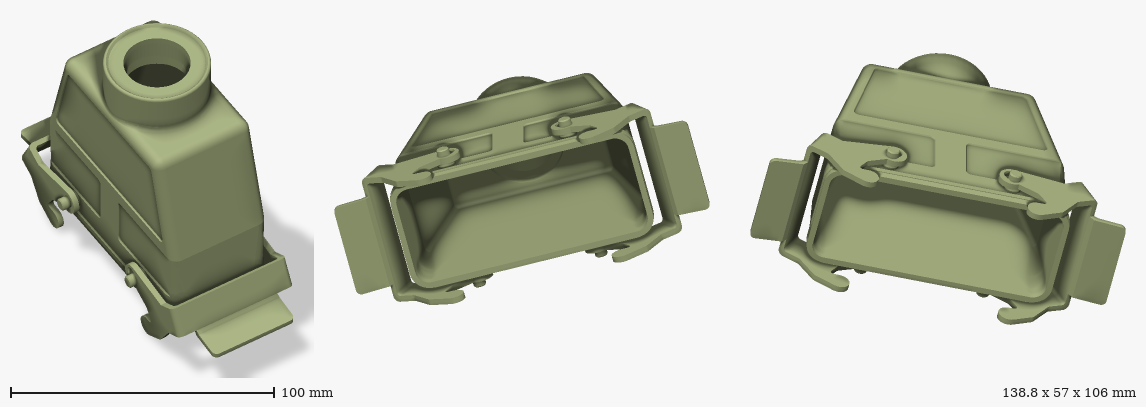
import cadquery as cq
import math

WALL = 2.2
HALF_DEPTH = 21.5
ROOF_Z = 78.4
ROOF_HALF = 33.1
SHOULDER_Z = 34.4
SHOULDER_HALF = 45.0
SKIRT_Z = 13.9
FOOT_HALF = 47.7
UPPER_RADIUS = 4.0
SKIRT_RADIUS = 7.5

FLANGE_HALF = 47.9
FLANGE_HALF_DEPTH = 22.3
FLANGE_RADIUS = 8.6
FLANGE_TOP = 4.6
RIM_TOP = 2.5
RIM_STEP = 0.3
RIM_TAPER = 8

PANEL_DEPTH = 0.7
PANEL_RADIUS = 1.7
PANEL_DRAFT = 30
UPPER_PANEL_TOP = 73.1
UPPER_PANEL_BOTTOM = 39.8
UPPER_PANEL_TOP_HALF = 29.3
UPPER_PANEL_BOTTOM_HALF = 37.9
LOWER_PANEL_TOP = 34.1
LOWER_PANEL_BOTTOM = 13.9
LOWER_PANEL_INNER_X = 6.4

NECK_DIAMETER = 41.0
NECK_TOP = 94.5
NECK_FILLET = 1.8
MOUTH_DEPTH = 0.8
MOUTH_FILLET = 1.0
MOUTH_DIAMETER = 38.8
NECK_BORE_DIAMETER = 37.0
CABLE_HOLE_DIAMETER = 32.0

INSERT_LENGTH = 13.9
INSERT_BORE_DIAMETER = 25.5
INSERT_TOP = NECK_TOP - MOUTH_DEPTH
INSERT_BOTTOM = INSERT_TOP - INSERT_LENGTH

PIN_X = 23.9
PIN_Z = 9.7
PIN_DIAMETER = 4.9
PIN_TIP_DIAMETER = 4.0
PIN_BOSS_DIAMETER = 7.0
PIN_BOSS_CONE = 1.1
PIN_SPAN = 57.0
PIN_CHAMFER = (PIN_DIAMETER - PIN_TIP_DIAMETER) / 2

BAR_SHEET = 2.0
ARM_SHEET = 2.4
LEVER_HALF_WIDTH = 25.8
ARM_INNER_Y = LEVER_HALF_WIDTH - ARM_SHEET
BEND_OUTER_RADIUS = 2.4
BEND_INNER_RADIUS = 1.4
BAR_ANGLE = math.radians(62.6)
BAR_LENGTH = 12.0
BAR_FOOT = (56.6, 6.5)
EAR_CENTER = (23.0, 10.8)
EAR_RADIUS = 5.0
EAR_START = 82
EAR_THROAT = (25.7, 6.7)
ARM_VALLEY = (43.3, 13.0)
THROAT_TOP = (33.3, 2.6)
THROAT_CORNER = (37.2, -3.3)
THROAT_RADIUS = 1.1
HOOK_CENTER = (33.0, -7.5)
HOOK_RADIUS = 4.0
HOOK_END = -60
HOOK_HEEL = (42.7, -6.7)
ARM_ELBOW_REACH = 9.0
BLUNT_RADIUS = 2.1
TAB_WIDTH = 36.3
TAB_TIP = (69.4, 4.0)
TAB_ROOT = (58.3, 5.5)
TAB_CORNER_RADIUS = 2.2


def rounded_wire(half_length, half_depth, radius, z):
    """Rounded rectangle centered on the Z axis at height z."""
    plate = (
        cq.Workplane("XY", (0, 0, z))
        .rect(2 * half_length, 2 * half_depth)
        .extrude(1.4)
        .edges("|Z")
        .fillet(radius)
    )
    return plate.faces("<Z").wires().val()


def hood_block(inset):
    """Solid hood outline, shrunk on the sides and roof by the inset."""
    half_depth = HALF_DEPTH - inset
    upper = (
        cq.Workplane("XZ")
        .polyline([
            (-SHOULDER_HALF + inset, SHOULDER_Z),
            (SHOULDER_HALF - inset, SHOULDER_Z),
            (ROOF_HALF - inset, ROOF_Z - inset),
            (-ROOF_HALF + inset, ROOF_Z - inset),
        ])
        .close()
        .extrude(half_depth, both=True)
        .edges("not <Z")
        .fillet(UPPER_RADIUS - inset)
    )
    shoulder_wire = upper.faces("<Z").wires().val()
    radius = SKIRT_RADIUS - inset
    skirt_half = FOOT_HALF - (FOOT_HALF - SHOULDER_HALF) * SKIRT_Z / SHOULDER_Z
    skirt_wire = rounded_wire(skirt_half - inset, half_depth, radius, SKIRT_Z)
    foot_wire = rounded_wire(FOOT_HALF - inset, half_depth, radius, 0)
    transition = cq.Solid.makeLoft([shoulder_wire, skirt_wire], True)
    skirt = cq.Solid.makeLoft([skirt_wire, foot_wire], True)
    return upper.union(transition).union(skirt).clean()


def cylinder(diameter, bottom, top):
    return cq.Workplane("XY", (0, 0, bottom)).circle(diameter / 2).extrude(top - bottom)


def neck():
    """Round neck with a rounded mouth, reaching into the roof."""
    return (
        cylinder(NECK_DIAMETER, ROOF_Z - 2 * UPPER_RADIUS, NECK_TOP)
        .faces(">Z")
        .edges()
        .fillet(MOUTH_FILLET)
    )


def neck_bore():
    """Stepped bore: conical mouth, insert seat and cable hole into the cavity."""
    mouth = (
        cq.Workplane("XY", (0, 0, INSERT_TOP))
        .circle(NECK_BORE_DIAMETER / 2)
        .workplane(offset=MOUTH_DEPTH)
        .circle(MOUTH_DIAMETER / 2)
        .loft()
    )
    seat = cylinder(NECK_BORE_DIAMETER, INSERT_BOTTOM, INSERT_TOP)
    cable_hole = cylinder(CABLE_HOLE_DIAMETER, SHOULDER_Z, INSERT_BOTTOM)
    return mouth.union(seat).union(cable_hole)


def flange():
    """Flange band and the tapered rim below it."""
    def outline(setback):
        wire = rounded_wire(
            FLANGE_HALF - setback, FLANGE_HALF_DEPTH - setback, FLANGE_RADIUS - setback, RIM_TOP
        )
        return cq.Workplane("XY", (0, 0, RIM_TOP)).add(wire).toPending()

    band = outline(0).extrude(FLANGE_TOP - RIM_TOP)
    rim = outline(RIM_STEP).extrude(-RIM_TOP, taper=RIM_TAPER)
    return band.union(rim)


def panel_cutter(corners):
    """Drafted block with rounded corners that sinks one panel into the -Y face."""
    outline = cq.Sketch().polygon([*corners, corners[0]]).vertices().fillet(PANEL_RADIUS)
    return (
        cq.Workplane("XZ", (0, PANEL_DEPTH - HALF_DEPTH, 0))
        .placeSketch(outline)
        .extrude(2 * PANEL_DEPTH, taper=-PANEL_DRAFT)
    )


def panel_cutters():
    """Cutters for the three panels of the -Y face."""
    upper = panel_cutter([
        (-UPPER_PANEL_BOTTOM_HALF, UPPER_PANEL_BOTTOM),
        (UPPER_PANEL_BOTTOM_HALF, UPPER_PANEL_BOTTOM),
        (UPPER_PANEL_TOP_HALF, UPPER_PANEL_TOP),
        (-UPPER_PANEL_TOP_HALF, UPPER_PANEL_TOP),
    ])
    lower = panel_cutter([
        (LOWER_PANEL_INNER_X, LOWER_PANEL_BOTTOM),
        (FLANGE_HALF, LOWER_PANEL_BOTTOM),
        (FLANGE_HALF, LOWER_PANEL_TOP),
        (LOWER_PANEL_INNER_X, LOWER_PANEL_TOP),
    ])
    return upper.union(lower).union(lower.mirror("YZ"))


def lever_pin():
    """Chamfered pin with a conical boss, pointing to -Y from the broad face."""
    boss_root = WALL - HALF_DEPTH
    pin_length = PIN_SPAN / 2 + boss_root
    pin = (
        cq.Workplane("XZ", (0, boss_root, 0))
        .circle(PIN_DIAMETER / 2)
        .extrude(pin_length)
        .faces("<Y")
        .chamfer(PIN_CHAMFER)
    )
    boss = (
        cq.Workplane("XZ", (0, boss_root, 0))
        .circle(PIN_BOSS_DIAMETER / 2)
        .extrude(ARM_INNER_Y + boss_root)
        .faces("<Y")
        .chamfer(PIN_BOSS_CONE, (PIN_BOSS_DIAMETER - PIN_DIAMETER) / 2)
    )
    return pin.union(boss)


def make_housing():
    """Hollow hood with its neck, flange, panels and four lever pins."""
    outside = hood_block(0).union(neck())
    reach = NECK_DIAMETER / 2 + NECK_FILLET
    neck_foot = cq.selectors.BoxSelector(
        (-reach, -reach, ROOF_Z - UPPER_RADIUS),
        (reach, reach, ROOF_Z + NECK_FILLET),
        boundingbox=True,
    )
    outside = outside.edges(neck_foot).fillet(NECK_FILLET)
    cutters = panel_cutters()
    housing = outside.cut(cutters).cut(cutters.mirror("XZ"))
    housing = housing.union(flange()).cut(hood_block(WALL)).cut(neck_bore())
    for side in (-1, 1):
        pin = lever_pin().translate((side * PIN_X, 0, PIN_Z))
        housing = housing.union(pin).union(pin.mirror("XZ"))
    return housing


def make_insert():
    """Plain ring seated in the neck bore."""
    return cylinder(NECK_BORE_DIAMETER, INSERT_BOTTOM, INSERT_TOP).cut(
        cylinder(INSERT_BORE_DIAMETER, INSERT_BOTTOM, INSERT_TOP)
    )


def bar_point(along, inward):
    """Point measured from the bar foot, up the bar and toward the hood."""
    return (
        BAR_FOOT[0] - along * math.cos(BAR_ANGLE) - inward * math.sin(BAR_ANGLE),
        BAR_FOOT[1] + along * math.sin(BAR_ANGLE) - inward * math.cos(BAR_ANGLE),
    )


def along_bar():
    """Selector for the edges that run up the leaning cross bar."""
    direction = cq.Vector(-math.cos(BAR_ANGLE), 0, math.sin(BAR_ANGLE))
    return cq.selectors.ParallelDirSelector(direction)


def on_circle(center, radius, degrees):
    angle = math.radians(degrees)
    return (center[0] + radius * math.cos(angle), center[1] + radius * math.sin(angle))


def round_corner(plate, corner, radius):
    """Round the edge along Y that passes through an outline corner."""
    x, z = corner
    reach = 0.1
    box = cq.selectors.BoxSelector(
        (x - reach, -LEVER_HALF_WIDTH, z - reach),
        (x + reach, LEVER_HALF_WIDTH, z + reach),
    )
    return plate.edges(box).fillet(radius)


def arm_outline():
    """Side outline of the lever, extruded over its whole width."""
    elbow = bar_point(0, ARM_ELBOW_REACH)
    plate = (
        cq.Workplane("XZ")
        .moveTo(*BAR_FOOT)
        .lineTo(*bar_point(BAR_LENGTH, 0))
        .lineTo(*ARM_VALLEY)
        .lineTo(*on_circle(EAR_CENTER, EAR_RADIUS, EAR_START))
        .threePointArc(on_circle(EAR_CENTER, EAR_RADIUS, 180), EAR_THROAT)
        .lineTo(*THROAT_TOP)
        .lineTo(*THROAT_CORNER)
        .lineTo(*on_circle(HOOK_CENTER, HOOK_RADIUS, 90))
        .threePointArc(
            on_circle(HOOK_CENTER, HOOK_RADIUS, 180),
            on_circle(HOOK_CENTER, HOOK_RADIUS, HOOK_END),
        )
        .lineTo(*HOOK_HEEL)
        .lineTo(*elbow)
        .close()
        .extrude(LEVER_HALF_WIDTH, both=True)
    )
    plate = round_corner(plate, THROAT_CORNER, THROAT_RADIUS)
    for corner in (THROAT_TOP, HOOK_HEEL, elbow):
        plate = round_corner(plate, corner, BLUNT_RADIUS)
    return plate


def between_arms():
    """Space between the two arms, behind the cross bar."""
    reach = 4 * BAR_LENGTH
    return (
        cq.Workplane("XZ")
        .polyline([
            bar_point(-reach, BAR_SHEET),
            bar_point(reach, BAR_SHEET),
            bar_point(reach, reach),
            bar_point(-reach, reach),
        ])
        .close()
        .extrude(ARM_INNER_Y, both=True)
        .edges(along_bar())
        .edges(">X")
        .fillet(BEND_INNER_RADIUS)
    )


def tab():
    """Finger tab bent outward from the foot of the cross bar."""
    tip_x, tip_z = TAB_TIP
    inner_foot = bar_point(0, BAR_SHEET)
    return (
        cq.Workplane("XZ")
        .polyline([
            TAB_TIP,
            TAB_ROOT,
            BAR_FOOT,
            inner_foot,
            (BAR_FOOT[0], TAB_ROOT[1] - BAR_SHEET),
            (tip_x, tip_z - BAR_SHEET),
        ])
        .close()
        .extrude(TAB_WIDTH / 2, both=True)
        .edges(">X")
        .edges("|Z")
        .fillet(TAB_CORNER_RADIUS)
    )


def pin_slot():
    """Slot through both arms, centered in the ear, with one end on the pin."""
    half_run = EAR_CENTER[0] - PIN_X
    half_rise = EAR_CENTER[1] - PIN_Z
    travel = 2 * math.hypot(half_run, half_rise)
    return (
        cq.Workplane("XZ", (EAR_CENTER[0], 0, EAR_CENTER[1]))
        .transformed(rotate=(0, 0, math.degrees(math.atan2(half_rise, half_run))))
        .slot2D(PIN_DIAMETER + travel, PIN_DIAMETER)
        .extrude(LEVER_HALF_WIDTH, both=True)
    )


def make_lever():
    """Lever on the +X side: two hooked arms, a cross bar and a finger tab."""
    blank = arm_outline().edges(along_bar()).edges(">X").fillet(BEND_OUTER_RADIUS)
    return blank.cut(between_arms()).cut(pin_slot()).union(tab())


housing = make_housing()
insert = make_insert()
lever = make_lever()
levers = [lever.val(), lever.mirror("YZ").val()]

result = cq.Compound.makeCompound([
    housing.val(),
    insert.val(),
    *levers,
])